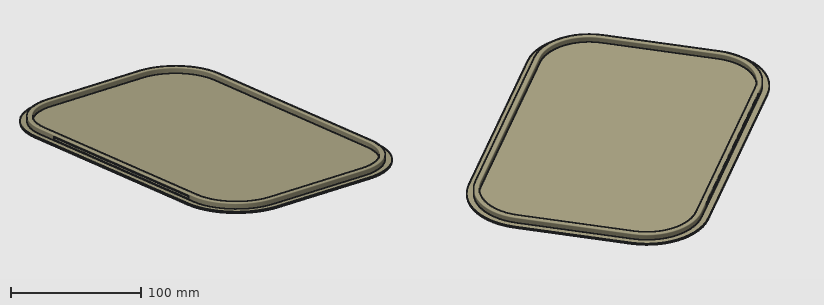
import cadquery as cq

length = 280.0
width = 190.0
height = 6.5
corner_radius = 48.7
base_thickness = 1.7
base_edge_fillet = 0.8

rim_inset = 5.3
rim_width = 4.5
rim_edge_fillet = 0.8

groove_start_x = -75.0
groove_end_x = 85.5
groove_height = 2.5
groove_depth = 1.0
groove_bottom_z = 2.2


def rounded_outline(plane_z, inset):
    """Rounded rectangle lying at plane_z, offset inwards from the tray edge."""
    outline = cq.Sketch().rect(length - 2 * inset, width - 2 * inset)
    outline = outline.vertices().fillet(corner_radius - inset)
    return cq.Workplane("XY").workplane(offset=plane_z).placeSketch(outline)


def make_rim():
    """Raised wall, rounded along both of its top edges."""
    block = rounded_outline(0, rim_inset).extrude(height)
    recess = rounded_outline(base_thickness, rim_inset + rim_width).extrude(height - base_thickness)
    return block.cut(recess).faces(">Z").edges().fillet(rim_edge_fillet)


def make_groove():
    """Triangular bar that cuts the V-groove into the front of the rim."""
    face_y = -width / 2 + rim_inset
    profile = [
        (face_y, groove_bottom_z),
        (face_y + groove_depth, groove_bottom_z + groove_height / 2),
        (face_y, groove_bottom_z + groove_height),
    ]
    bar = cq.Workplane("YZ").workplane(offset=groove_start_x).polyline(profile).close()
    return bar.extrude(groove_end_x - groove_start_x)


base = rounded_outline(0, 0).extrude(base_thickness)
base = base.faces("<Z").edges().fillet(base_edge_fillet)
result = base.union(make_rim()).cut(make_groove())